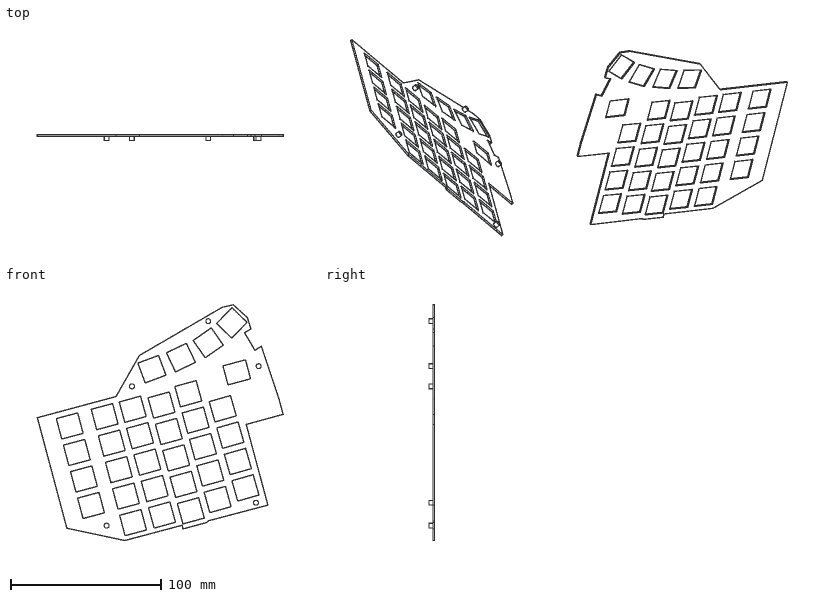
import cadquery as cq
import math

PLATE_THICKNESS = 1.2
TOTAL_DEPTH = 4.0
PIN_DIAMETER = 3.3

BACK_Y = TOTAL_DEPTH / 2
FRONT_Y = BACK_Y - PLATE_THICKNESS

WINDOW_WIDTH = 14.5
WINDOW_HEIGHT = 13.9
FIVE_KEY_SPAN = 73.0
KEY_PITCH = FIVE_KEY_SPAN / 4

KEY_COLUMNS = [
    ((-60.2, -2.1), 15.0, 4),
    ((-37.0, 4.1), 15.0, 5),
    ((-18.3, 9.0), 15.5, 5),
    ((0.8, 11.8), 15.5, 5),
    ((18.6, 19.3), 15.5, 5),
    ((41.5, 9.3), 16.0, 4),
]

FAN_KEYS = [
    ((-5.5, 35.6), 20.5),
    ((13.7, 43.3), 25.5),
    ((31.9, 53.1), 35.0),
    ((47.6, 66.4), 45.5),
]

OBLONG_CENTRE = (50.9, 33.5)
OBLONG_TILT = 15.0
OBLONG_WIDTH = 15.4
OBLONG_HEIGHT = 12.9

PIN_CENTRES = [
    (31.9, 67.5),
    (65.4, 37.6),
    (-18.8, 24.2),
    (63.6, -53.1),
    (-35.6, -68.4),
]

OUTLINE = [
    (-81.8, 3.5),
    (-29.5, 17.5),
    (-13.9, 44.8),
    (41.2, 76.9),
    (48.5, 78.5),
    (58.0, 69.8),
    (60.3, 62.3),
    (56.1, 59.8),
    (63.0, 48.2),
    (67.2, 51.0),
    (79.0, 15.9),
    (81.8, 5.5),
    (57.2, -1.1),
    (71.6, -54.8),
    (31.9, -65.2),
    (30.7, -66.4),
    (15.0, -70.6),
    (14.5, -68.2),
    (-23.5, -78.3),
    (-62.1, -70.2),
]


def front_sketch():
    """Workplane on the plate's front face, seen from -Y: local x is X, local y is Z."""
    return cq.Workplane("XZ", origin=(0, FRONT_Y, 0))


def window_cutter(centre, tilt, width, height):
    """Block that cuts a tilted rectangular window through the plate."""
    return (
        front_sketch()
        .center(*centre)
        .transformed(rotate=(0, 0, tilt))
        .rect(width, height)
        .extrude(-PLATE_THICKNESS)
    )


def column_centres(top, tilt, count):
    """Key centres of one column, from the top key downwards."""
    angle = math.radians(tilt)
    step_x = KEY_PITCH * math.sin(angle)
    step_z = -KEY_PITCH * math.cos(angle)
    return [(top[0] + i * step_x, top[1] + i * step_z) for i in range(count)]


plate = front_sketch().polyline(OUTLINE).close().extrude(-PLATE_THICKNESS)

for top_key, column_tilt, key_count in KEY_COLUMNS:
    for key_centre in column_centres(top_key, column_tilt, key_count):
        plate = plate.cut(window_cutter(key_centre, column_tilt, WINDOW_WIDTH, WINDOW_HEIGHT))

for key_centre, key_tilt in FAN_KEYS:
    plate = plate.cut(window_cutter(key_centre, key_tilt, WINDOW_WIDTH, WINDOW_HEIGHT))

plate = plate.cut(window_cutter(OBLONG_CENTRE, OBLONG_TILT, OBLONG_WIDTH, OBLONG_HEIGHT))

pins = (
    front_sketch()
    .pushPoints(PIN_CENTRES)
    .circle(PIN_DIAMETER / 2)
    .extrude(TOTAL_DEPTH - PLATE_THICKNESS)
)

result = plate.union(pins)